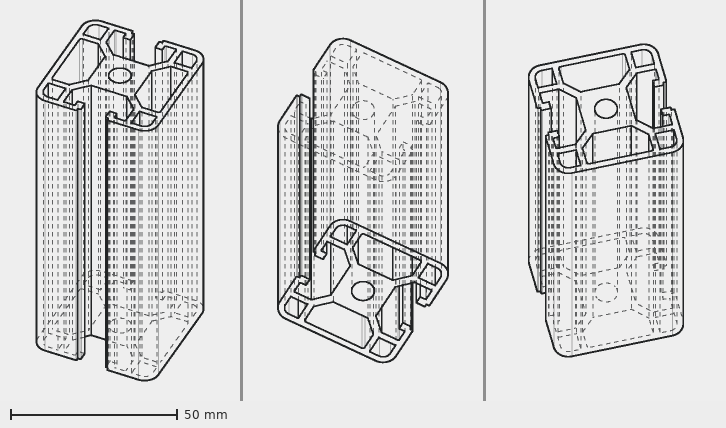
import cadquery as cq

SIDE = 40.0
LENGTH = 100.0
CORNER_RADIUS = 4.5
WALL = 2.0
BORE_DIAMETER = 6.8

CORE_HALF = 7.75
CORE_FACE_HALF = 5.95
WEB_THICKNESS = 2.0

SLOT_INNER_HALF = 10.25
SLOT_OPENING_HALF = 4.1
STEP_HALF = 5.05
STEP_DEPTH = 1.0
LIP_HALF = 6.5
LIP_DEPTH = 4.0
SLOT_FILLET = 0.3
MOUTH_FILLET = 0.3

CAVITY_FILLET = 0.7

HALF = SIDE / 2
INNER_FACE = HALF - WALL
DIAGONAL_RUN = SLOT_INNER_HALF - CORE_FACE_HALF
CELL_START = SLOT_INNER_HALF + WEB_THICKNESS
CELL_RADIUS = CORNER_RADIUS - WALL


def mirrored_outline(half_outline):
    """Close an outline given by its +X half, listed from the axis outwards."""
    other_half = [(-x, y) for x, y in reversed(half_outline)]
    return cq.Workplane("XY").polyline(half_outline + other_half).close()


def body():
    return cq.Workplane("XY").rect(SIDE, SIDE).extrude(LENGTH).edges("|Z").fillet(CORNER_RADIUS)


def t_slot():
    """Undercut slot opening on the +Y side, with a shallow step at its mouth."""
    half_outline = [
        (CORE_FACE_HALF, CORE_HALF),
        (SLOT_INNER_HALF, CORE_HALF + DIAGONAL_RUN),
        (SLOT_INNER_HALF, INNER_FACE),
        (LIP_HALF, INNER_FACE),
        (LIP_HALF, HALF - LIP_DEPTH),
        (SLOT_OPENING_HALF, HALF - LIP_DEPTH),
        (SLOT_OPENING_HALF, HALF - STEP_DEPTH),
        (STEP_HALF, HALF - STEP_DEPTH),
        (STEP_HALF, HALF),
    ]
    slot = mirrored_outline(half_outline).extrude(LENGTH)
    for x in (-SLOT_INNER_HALF, -LIP_HALF, LIP_HALF, SLOT_INNER_HALF):
        corner = cq.selectors.NearestToPointSelector((x, INNER_FACE, LENGTH / 2))
        slot = slot.edges(corner).fillet(SLOT_FILLET)
    return slot


def mouth_edges(part):
    """Convex edges of the outer face and of the step at both slot mouths."""
    points = []
    for side_x in (-1, 1):
        for side_y in (-1, 1):
            points.append((side_x * STEP_HALF, side_y * HALF, LENGTH / 2))
            points.append((side_x * SLOT_OPENING_HALF, side_y * (HALF - STEP_DEPTH), LENGTH / 2))
    found = [part.edges(cq.selectors.NearestToPointSelector(point)).val() for point in points]
    return part.newObject(found)


def side_cavity():
    """Closed cavity behind the side wall, drawn towards +Y."""
    half_outline = [
        (CORE_FACE_HALF, CORE_HALF),
        (SLOT_INNER_HALF, CORE_HALF + DIAGONAL_RUN),
        (SLOT_INNER_HALF, INNER_FACE),
    ]
    cavity = mirrored_outline(half_outline).extrude(LENGTH)
    return cavity.faces(">Y").edges("|Z").fillet(CAVITY_FILLET)


def corner_cell():
    """Hollow cell in the +X +Y corner, rounded concentric with the outside."""
    size = INNER_FACE - CELL_START
    cell = cq.Workplane("XY").rect(size, size, centered=False).extrude(LENGTH)
    cell = cell.edges("|Z and >X and >Y").fillet(CELL_RADIUS)
    return cell.translate((CELL_START, CELL_START, 0))


def turned(shape, angle):
    return shape.rotate((0, 0, 0), (0, 0, 1), angle)


result = body().cut(cq.Workplane("XY").circle(BORE_DIAMETER / 2).extrude(LENGTH))
for half_turn in (0, 180):
    result = result.cut(turned(t_slot(), half_turn))
    result = result.cut(turned(side_cavity(), half_turn + 90))
for quarter_turn in (0, 90, 180, 270):
    result = result.cut(turned(corner_cell(), quarter_turn))
result = mouth_edges(result).fillet(MOUTH_FILLET)